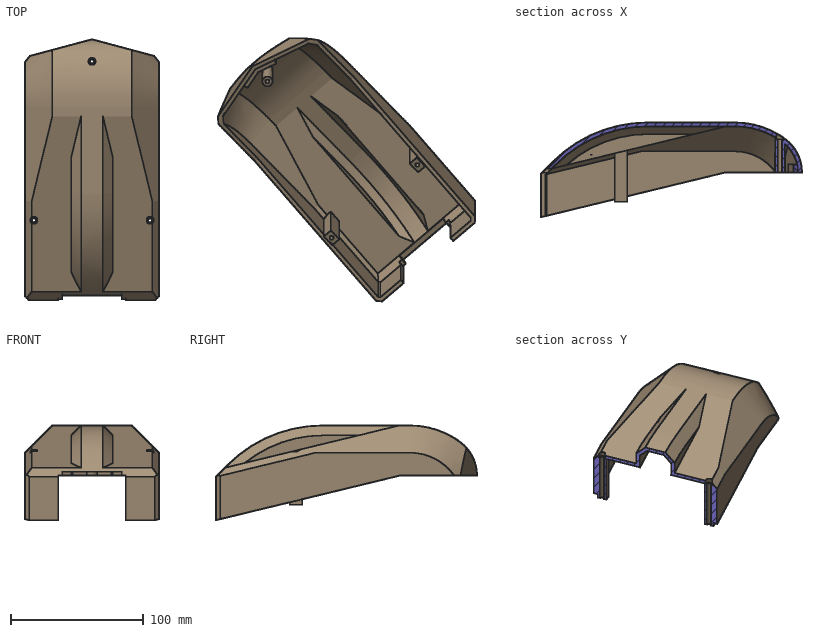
import cadquery as cq
import math


half_width = 50.8
nose_tip_y = 50.8
front_y = nose_tip_y - 197.76
top_z = 38.1
lowest_z = top_z - 71.87
form_floor_z = lowest_z - 10.0
wall = 3.175
corner_chamfer = 3.175
nose_sweep = math.radians(15)

nose_top_radius = 63.5
nose_tip_radius = 31.75
nose_arc_joint = math.asin((nose_tip_y - nose_tip_radius) / (nose_top_radius - nose_tip_radius))

shoulder = 20.7
shoulder_low_radius = 41.0

slope_start_y = -7.62
slope_angle = math.atan2(-lowest_z, slope_start_y - front_y)
roof_edge_chamfer = 5.08

hump_half_width = 15.875
hump_chamfer = 7.62
hump_radius = 101.6
hump_arc_y = -66.04
edge_margin = 1.0
front_bevel = math.radians(45)

opening_half_width = 25.4
notch_half_width = 22.4
notch_top_z = 2.9
opening_depth = 4 * wall

screw_hole_diameter = 3.0
screw_head_diameter = 5.4
screw_head_depth = 3.0
side_screw_x = 44.0
side_screw_y = -86.3
side_boss_length = 9.525
side_boss_width = 2 * (half_width - wall - side_screw_x)
side_boss_bottom_z = -22.1
nose_screw_y = 34.0
nose_boss_diameter = 7.8

pad_half_width = 15.8
pad_end_taper = 1.2
pad_thickness = 3.175
pad_height = 6.35


def bevel_leg(leg, inset):
    """Leg of a 45 degree bevel after its faces all move inwards by inset."""
    return leg - inset * (2 - math.sqrt(2))


def along_x(outline, half):
    """Extrude a YZ outline symmetrically to both sides of X = 0."""
    return outline.extrude(half, both=True)


def front_profile(inset, back_y):
    """YZ outline: flat top, ridge arc, front bevel and front wall, closed at back_y."""
    radius = hump_radius - inset
    arc_centre_z = top_z - hump_radius
    end_y = hump_arc_y - radius * math.sin(front_bevel)
    end_z = arc_centre_z + radius * math.cos(front_bevel)
    mid_y = hump_arc_y - radius * math.sin(front_bevel / 2)
    mid_z = arc_centre_z + radius * math.cos(front_bevel / 2)
    wall_y = front_y + inset
    bevel_end_z = end_z - (end_y - wall_y) * math.tan(front_bevel)
    return (
        cq.Workplane("YZ")
        .moveTo(back_y, top_z - inset)
        .lineTo(hump_arc_y, top_z - inset)
        .threePointArc((mid_y, mid_z), (end_y, end_z))
        .lineTo(wall_y, bevel_end_z)
        .lineTo(wall_y, form_floor_z)
        .lineTo(back_y, form_floor_z)
        .close()
    )


def nose_form(inset):
    """Slab with the rounded nose profile, reaching forward past the front wall."""
    top_radius = nose_top_radius - inset
    tip_radius = nose_tip_radius - inset
    top_centre_z = top_z - nose_top_radius
    tip_centre_y = nose_tip_y - nose_tip_radius
    joint = (top_radius * math.sin(nose_arc_joint), top_centre_z + top_radius * math.cos(nose_arc_joint))
    top_mid = (
        top_radius * math.sin(nose_arc_joint / 2),
        top_centre_z + top_radius * math.cos(nose_arc_joint / 2),
    )
    tip_mid_angle = (nose_arc_joint + math.pi / 2) / 2
    tip_mid = (tip_centre_y + tip_radius * math.sin(tip_mid_angle), tip_radius * math.cos(tip_mid_angle))
    outline = (
        cq.Workplane("YZ")
        .moveTo(front_y, top_z - inset)
        .lineTo(0, top_z - inset)
        .threePointArc(top_mid, joint)
        .threePointArc(tip_mid, (nose_tip_y - inset, 0))
        .lineTo(nose_tip_y - inset, form_floor_z)
        .lineTo(front_y, form_floor_z)
        .close()
    )
    return along_x(outline, half_width)


def plan_form(inset):
    """Vertical prism with the pointed plan outline and its chamfered corners."""
    shoulder_y = nose_tip_y - half_width * math.tan(nose_sweep)
    cut_x = half_width - corner_chamfer * math.cos(nose_sweep)
    cut_y = shoulder_y + corner_chamfer * math.sin(nose_sweep)
    right_side = [
        (half_width - corner_chamfer, front_y),
        (half_width, front_y + corner_chamfer),
        (half_width, shoulder_y - corner_chamfer),
        (cut_x, cut_y),
    ]
    left_side = [(-x, y) for x, y in reversed(right_side)]
    base = cq.Workplane("XY", origin=(0, 0, form_floor_z))
    outline = base.polyline(right_side + [(0, nose_tip_y)] + left_side).close()
    if inset > 0:
        outline = outline.offset2D(-inset)
    return outline.extrude(top_z - form_floor_z)


def shoulder_section(x, edge_z, radius):
    """YZ outline at X = x: a straight top edge that turns down through a quarter circle."""
    centre_z = edge_z - radius
    mid = (radius * math.sin(math.pi / 4), centre_z + radius * math.cos(math.pi / 4))
    return (
        cq.Workplane("YZ", origin=(x, 0, 0))
        .moveTo(front_y, edge_z)
        .lineTo(0, edge_z)
        .threePointArc(mid, (radius, centre_z))
        .lineTo(radius, form_floor_z)
        .lineTo(front_y, form_floor_z)
        .close()
        .val()
    )


def shoulder_form(inset):
    """Core block between the shoulders plus a ruled shoulder on each side."""
    leg = bevel_leg(shoulder, inset)
    outer_x = half_width - inset
    inner_x = outer_x - leg
    edge_z = top_z - inset
    upper_radius = nose_top_radius - inset
    lower_radius = shoulder_low_radius - inset
    core = shoulder_section(-inner_x, edge_z, upper_radius)
    form = cq.Workplane(cq.Solid.extrudeLinear(core, [], cq.Vector(2 * inner_x, 0, 0)))
    for side in (-1, 1):
        sections = [
            shoulder_section(side * inner_x, edge_z, upper_radius),
            shoulder_section(side * outer_x, edge_z - leg, lower_radius),
        ]
        form = form.union(cq.Workplane(cq.Solid.makeLoft(sections, True)))
    return form


def roof_form(inset):
    """Sloped block whose top is the roof plane, with both long edges chamfered."""
    leg = bevel_leg(roof_edge_chamfer, inset)
    outer_x = half_width - inset
    reach = nose_tip_y - front_y
    depth = 2 * (top_z - form_floor_z)
    block = (
        cq.Workplane("XZ")
        .polyline([
            (outer_x, -depth),
            (outer_x, -inset - leg),
            (outer_x - leg, -inset),
            (leg - outer_x, -inset),
            (-outer_x, -inset - leg),
            (-outer_x, -depth),
        ])
        .close()
        .extrude(reach, both=True)
    )
    tilted = block.rotate((0, 0, 0), (1, 0, 0), math.degrees(slope_angle))
    return tilted.translate((0, slope_start_y, top_z))


def hump_form(inset):
    """Central ridge with chamfered top edges."""
    half = hump_half_width - inset
    ridge = along_x(front_profile(inset, 0), half)
    upper_edges = cq.selectors.BoxSelector(
        (-half - edge_margin, front_y + inset + edge_margin, -edge_margin),
        (half + edge_margin, -edge_margin, top_z + edge_margin),
    )
    edges = ridge.faces("<X or >X").edges(upper_edges)
    return edges.chamfer(bevel_leg(hump_chamfer, inset))


def cover_form(inset):
    """Solid form of the cover with every face moved inwards by inset."""
    body = nose_form(inset).intersect(plan_form(inset)).intersect(shoulder_form(inset))
    body = body.intersect(roof_form(inset))
    body = body.intersect(along_x(front_profile(inset, nose_tip_y), half_width))
    return body.union(hump_form(inset))


def below_rim():
    """Everything under the rim: level below the nose, sloped towards the front."""
    outline = (
        cq.Workplane("YZ")
        .polyline([
            (nose_tip_y, 0),
            (slope_start_y, 0),
            (front_y, lowest_z),
            (front_y, form_floor_z),
            (nose_tip_y, form_floor_z),
        ])
        .close()
    )
    return along_x(outline, half_width)


def front_opening():
    """Gap between the front legs with a narrower notch above it."""
    middle_y = front_y + opening_depth / 2
    gap = cq.Workplane("XY").box(2 * opening_half_width, opening_depth, -form_floor_z)
    gap = gap.translate((0, middle_y, form_floor_z / 2))
    notch = cq.Workplane("XY").box(2 * notch_half_width, opening_depth, notch_top_z)
    return gap.union(notch.translate((0, middle_y, notch_top_z / 2)))


def column_base(x, y, bottom_z):
    """Level workplane from which a boss or a screw hole rises."""
    return cq.Workplane("XY", origin=(x, y, bottom_z))


def screw_cut(x, y, surface_z):
    """Through hole with a flat-bottomed recess for the screw head."""
    hole = column_base(x, y, form_floor_z).circle(screw_hole_diameter / 2).extrude(top_z - form_floor_z)
    recess = column_base(x, y, surface_z - screw_head_depth).circle(screw_head_diameter / 2).extrude(top_z)
    return hole.union(recess)


outer = cover_form(0)
cavity = cover_form(wall)
cover = outer.cut(cavity).cut(below_rim()).cut(front_opening())

roof_z_at_side_screw = top_z + (side_screw_y - slope_start_y) * math.tan(slope_angle)
for side_x in (-side_screw_x, side_screw_x):
    base = column_base(side_x, side_screw_y, side_boss_bottom_z)
    side_boss = base.rect(side_boss_width, side_boss_length).extrude(top_z - side_boss_bottom_z)
    cover = cover.union(side_boss.intersect(outer))
    cover = cover.cut(screw_cut(side_x, side_screw_y, roof_z_at_side_screw))

nose_z_at_screw = top_z - nose_top_radius + math.sqrt(nose_top_radius**2 - nose_screw_y**2)
nose_boss = column_base(0, nose_screw_y, 0).circle(nose_boss_diameter / 2).extrude(top_z)
cover = cover.union(nose_boss.intersect(outer))
cover = cover.cut(screw_cut(0, nose_screw_y, nose_z_at_screw))

pad_front_tip_y = nose_tip_y - (wall + pad_thickness) / math.cos(nose_sweep)
pad_front_half = pad_half_width - pad_end_taper
pad_front_y = pad_front_tip_y - pad_front_half * math.tan(nose_sweep)
pad_side_y = nose_tip_y - wall / math.cos(nose_sweep) - pad_half_width * math.tan(nose_sweep)
pad = (
    cq.Workplane("XY")
    .polyline([
        (0, pad_front_tip_y),
        (pad_front_half, pad_front_y),
        (pad_half_width, pad_side_y),
        (pad_half_width, nose_tip_y),
        (-pad_half_width, nose_tip_y),
        (-pad_half_width, pad_side_y),
        (-pad_front_half, pad_front_y),
    ])
    .close()
    .extrude(pad_height)
    .intersect(cavity)
)

result = cq.Compound.makeCompound([cover.val(), pad.val()])